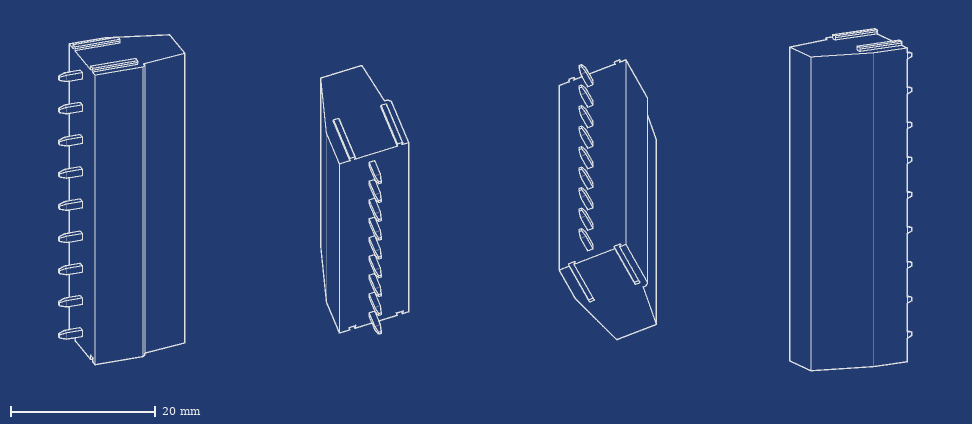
import cadquery as cq

poles = 9
total_height = 45.6
rail_height = 0.6
housing_height = total_height - rail_height
pitch = housing_height / poles
housing_width = 10.2
housing_depth = 14.0

left_wall_depth = 5.35
crown_left_x = 2.3
crown_right_x = 8.35
ledge_x = 9.35
ledge_y = 7.5
ledge_chamfer = 0.4

pin_x = 4.8
pin_width = 0.8
pin_thickness = 1.0
pin_shank_length = 2.33
pin_tip_length = 0.95
pin_end_width = 0.4
pin_end_thickness = 0.5

rail_centres_x = (1.9, 8.9)
rail_length = 6.65
rail_root_width = 0.65
rail_head_width = 0.9
rail_crest_width = 0.75
rail_head_height = 0.35
rail_section = [
    (rail_root_width, 0),
    (rail_head_width, rail_head_height),
    (rail_crest_width, rail_height),
]
groove_depth = 0.65
groove_mouth_width = 0.75
groove_floor_width = 1.0
groove_section = [
    (groove_mouth_width, 0),
    (groove_floor_width, groove_depth),
]


def make_housing():
    return (
        cq.Workplane("XY")
        .moveTo(0, 0)
        .lineTo(housing_width, 0)
        .lineTo(housing_width, ledge_y - ledge_chamfer)
        .lineTo(housing_width - ledge_chamfer, ledge_y)
        .lineTo(ledge_x, ledge_y)
        .lineTo(crown_right_x, housing_depth)
        .lineTo(crown_left_x, housing_depth)
        .lineTo(0, left_wall_depth)
        .close()
        .extrude(housing_height)
    )


def make_bar(centre_x, base_z, section):
    """Bar along +Y from the pin face; section lists (full width, height above base_z) upwards."""
    right_side = [(width / 2, height) for width, height in section]
    left_side = [(-x, height) for x, height in reversed(right_side)]
    return (
        cq.Workplane("XZ", origin=(centre_x, 0, base_z))
        .polyline(right_side + left_side)
        .close()
        .extrude(-rail_length)
    )


def make_pin(centre_z):
    """Rectangular pin pointing along -Y, with a tip that tapers on all four sides."""
    face = cq.Workplane("XZ", origin=(pin_x, 0, centre_z))
    shank = face.rect(pin_width, pin_thickness).extrude(pin_shank_length)
    tip = (
        face.workplane(offset=pin_shank_length)
        .rect(pin_width, pin_thickness)
        .workplane(offset=pin_tip_length)
        .rect(pin_end_width, pin_end_thickness)
        .loft(ruled=True)
    )
    return shank.union(tip)


result = make_housing()
for rail_x in rail_centres_x:
    result = result.union(make_bar(rail_x, housing_height, rail_section))
    result = result.cut(make_bar(rail_x, 0, groove_section))
for pole in range(poles):
    result = result.union(make_pin((pole + 0.5) * pitch))